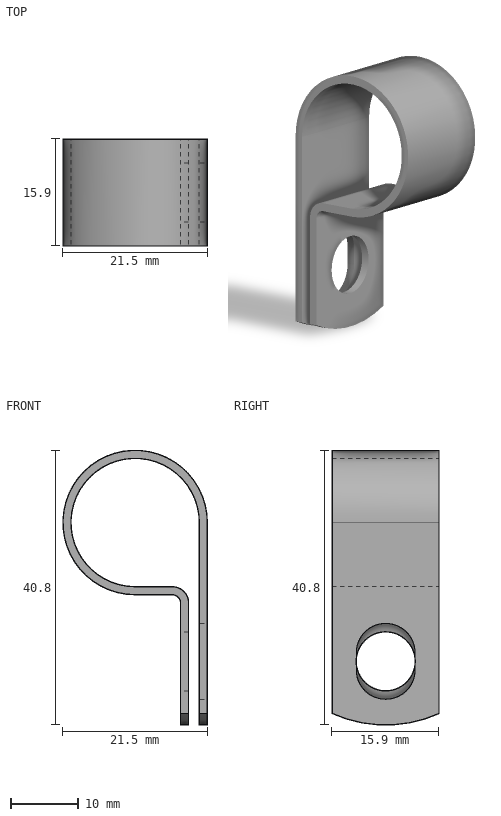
import cadquery as cq
import math

total_height = 40.8
strip_width = 15.88
thickness = 1.22
loop_outer_radius = 10.75
leg_gap = 1.55
bend_inner_radius = 1.22
hole_diameter = 8.75
slot_length = 11.25
hole_drop = 20.6
end_arc_rise = 1.7

loop_inner_radius = loop_outer_radius - thickness
bend_outer_radius = bend_inner_radius + thickness
leg_bottom = loop_outer_radius - total_height
short_leg_outer_x = loop_inner_radius - leg_gap
short_leg_inner_x = short_leg_outer_x - thickness
bend_x = short_leg_outer_x - bend_outer_radius
bend_z = -loop_inner_radius - bend_outer_radius
half_width = strip_width / 2


def loop_middle(radius):
    """Point halfway along the three-quarter loop, up and to the left."""
    return (-radius * math.sqrt(0.5), radius * math.sqrt(0.5))


def bent_strip():
    """Strip wrapped three quarters round the loop, with two parallel legs."""
    profile = (
        cq.Workplane("XZ", origin=(0, half_width, 0))
        .moveTo(loop_outer_radius, leg_bottom)
        .lineTo(loop_outer_radius, 0)
        .threePointArc(loop_middle(loop_outer_radius), (0, -loop_outer_radius))
        .lineTo(bend_x, -loop_outer_radius)
        .radiusArc((short_leg_inner_x, bend_z), bend_inner_radius)
        .lineTo(short_leg_inner_x, leg_bottom)
        .lineTo(short_leg_outer_x, leg_bottom)
        .lineTo(short_leg_outer_x, bend_z)
        .radiusArc((bend_x, -loop_inner_radius), -bend_outer_radius)
        .lineTo(0, -loop_inner_radius)
        .threePointArc(loop_middle(loop_inner_radius), (loop_inner_radius, 0))
        .lineTo(loop_inner_radius, leg_bottom)
        .close()
    )
    return profile.extrude(strip_width)


def rounded_end_envelope():
    """Block around the strip whose lower face is the arc of the leg ends."""
    corner_z = leg_bottom + end_arc_rise
    return (
        cq.Workplane("YZ", origin=(-loop_outer_radius, 0, 0))
        .moveTo(-half_width, loop_outer_radius)
        .lineTo(-half_width, corner_z)
        .threePointArc((0, leg_bottom), (half_width, corner_z))
        .lineTo(half_width, loop_outer_radius)
        .close()
        .extrude(2 * loop_outer_radius)
    )


def screw_hole():
    """Cylinder along X, through both legs."""
    return (
        cq.Workplane("YZ", origin=(-loop_outer_radius, 0, -hole_drop))
        .circle(hole_diameter / 2)
        .extrude(2 * loop_outer_radius)
    )


def long_leg_slot():
    """Upright slot through the long leg only, centred on the screw hole."""
    return (
        cq.Workplane("YZ", origin=(loop_inner_radius, 0, -hole_drop))
        .slot2D(slot_length, hole_diameter, angle=90)
        .extrude(thickness)
    )


result = bent_strip().intersect(rounded_end_envelope()).cut(screw_hole()).cut(long_leg_slot())